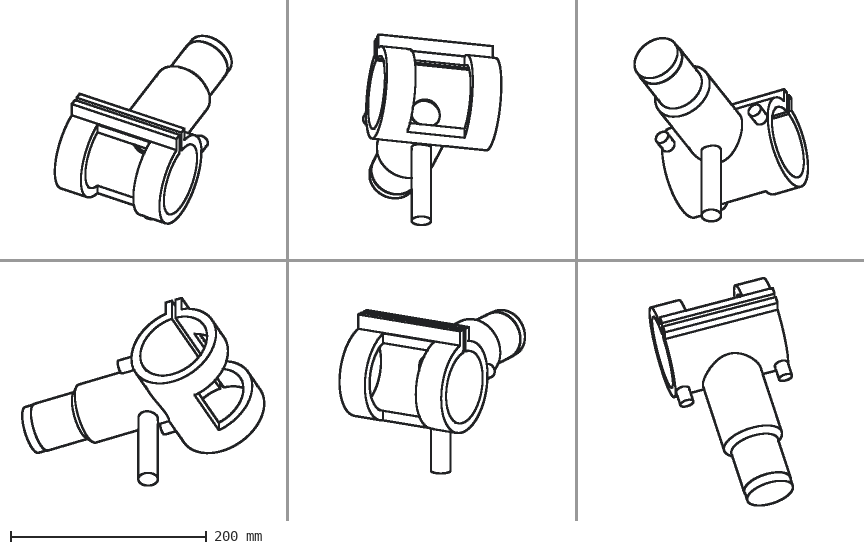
import cadquery as cq


overall_length = 233.5
clamp_width = 120.0
ring_diameter = 95.0
bore_diameter = 75.0
ring_radius = ring_diameter / 2
bore_radius = bore_diameter / 2

tang_top = 61.9
tang_span = 18.0
slit_width = 4.0

window_width = clamp_width / 2
window_offset = 10.0

peg_diameter = 14.0
peg_spacing = 105.0
peg_end = 63.0

stem_end = overall_length - ring_radius
barrel_diameter = 62.0
neck_diameter = 50.0
tip_diameter = 49.0
tip_length = 10.0
neck_start = stem_end - 56.0
cone_length = 6.0
barrel_end = neck_start - cone_length
spigot_diameter = 30.1

handle_diameter = 20.0
handle_offset = 55.8
handle_bottom = -112.8


def cylinder_x(diameter, length):
    """Cylinder along X, centred on the origin."""
    return cq.Workplane("YZ", origin=(-length / 2, 0, 0)).circle(diameter / 2).extrude(length)


def cylinder_y(diameter, start, end, x=0):
    """Cylinder along Y between two Y positions."""
    plane = cq.Plane(origin=(x, start, 0), xDir=(1, 0, 0), normal=(0, 1, 0))
    return cq.Workplane(plane).circle(diameter / 2).extrude(end - start)


def make_clamp():
    """Split ring with two tangs, a front window, two pegs and a spigot hole."""
    clamp = cylinder_x(ring_diameter, clamp_width)
    tangs = cq.Workplane("XY").box(clamp_width, tang_span, tang_top, centered=(True, True, False))
    clamp = clamp.union(tangs)

    for side in (-1, 1):
        clamp = clamp.union(cylinder_y(peg_diameter, 0, peg_end, side * peg_spacing / 2))

    slit = cq.Workplane("XY").box(clamp_width, slit_width, tang_top, centered=(True, True, False))
    clamp = clamp.cut(cylinder_x(bore_diameter, clamp_width)).cut(slit)

    window = (
        cq.Workplane("XY")
        .box(window_width, ring_radius, ring_diameter, centered=(True, False, True))
        .translate((0, -window_offset - ring_radius, 0))
    )
    return clamp.cut(window).cut(cylinder_y(spigot_diameter, 0, ring_radius))


def make_stem():
    """Stepped round stem, saddled on the ring, with a spigot and a handle."""
    barrel_radius = barrel_diameter / 2
    neck_radius = neck_diameter / 2
    tip_radius = tip_diameter / 2
    tip_start = stem_end - tip_length
    stem = (
        cq.Workplane("XY")
        .lineTo(barrel_radius, 0)
        .lineTo(barrel_radius, barrel_end)
        .lineTo(neck_radius, neck_start)
        .lineTo(neck_radius, tip_start)
        .lineTo(tip_radius, tip_start)
        .lineTo(tip_radius, stem_end)
        .lineTo(0, stem_end)
        .close()
        .revolve(360, (0, 0, 0), (0, 1, 0))
    )
    stem = stem.cut(cylinder_x(ring_diameter, clamp_width))

    spigot = cylinder_y(spigot_diameter, bore_radius, handle_offset)
    handle = (
        cq.Workplane("XY")
        .center(0, handle_offset)
        .circle(handle_diameter / 2)
        .extrude(handle_bottom)
    )
    return stem.union(spigot).union(handle)


clamp = make_clamp()
stem = make_stem()

result = cq.Compound.makeCompound([clamp.solids().val(), stem.solids().val()])